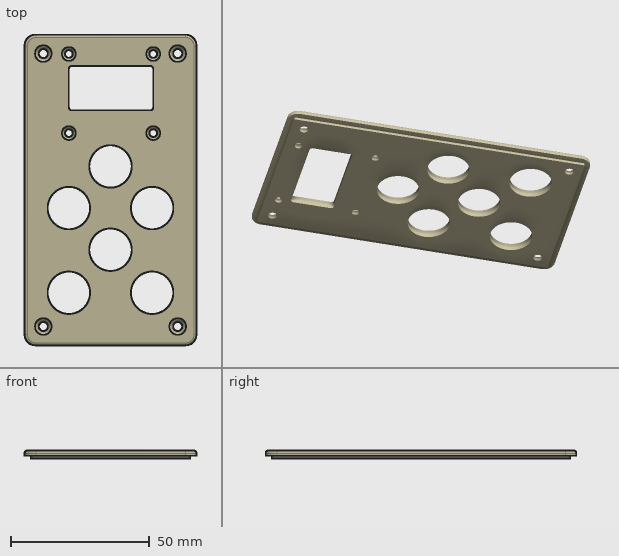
import cadquery as cq

width = 62.0
length = 112.0
plate_thickness = 2.0
corner_radius = 4.0
edge_radius = 1.0

lip_depth = 1.0
lip_inset = 2.2
lip_corner_radius = 0.6
thickness = plate_thickness + lip_depth

corner_screw_pitch_x = 48.4
corner_screw_pitch_y = 98.3
corner_screw_diameter = 3.2
corner_screw_head = 6.0

display_center_x = 0.2
window_width = 30.3
window_height = 15.9
window_center_y = 36.7
window_corner_radius = 1.0
display_screw_pitch_x = 30.4
display_screw_pitch_y = 28.5
display_screw_center_y = 34.75
display_screw_diameter = 2.7
display_screw_head = 5.0

countersink_angle = 90.0

button_diameter = 15.2
button_pitch = 15.0
button_top_y = 8.5
button_bottom_y = -37.0
button_centers = [
    (0, button_top_y),
    (-button_pitch, button_top_y - button_pitch),
    (button_pitch, button_top_y - button_pitch),
    (0, button_top_y - 2 * button_pitch),
    (-button_pitch, button_bottom_y),
    (button_pitch, button_bottom_y),
]


def rounded_block(size_x, size_y, height, radius):
    """Block standing on Z = 0 with rounded vertical edges."""
    block = cq.Workplane("XY").box(size_x, size_y, height, centered=(True, True, False))
    return block.edges("|Z").fillet(radius)


def make_body():
    """Plate with a rounded top edge resting on the smaller lip."""
    lip = rounded_block(width - 2 * lip_inset, length - 2 * lip_inset, lip_depth, lip_corner_radius)
    plate = rounded_block(width, length, plate_thickness, corner_radius)
    plate = plate.faces(">Z").edges().fillet(edge_radius)
    return plate.translate((0, 0, lip_depth)).union(lip)


def top_plane(center_x=0.0, center_y=0.0):
    """Workplane on the top surface, centred at the given point."""
    return cq.Workplane("XY", origin=(center_x, center_y, thickness))


def cut_screw_pattern(body, pitch_x, pitch_y, center_x, center_y, diameter, head):
    """Cut four countersunk through holes on the corners of a rectangle."""
    plane = body.copyWorkplane(top_plane(center_x, center_y))
    return plane.rect(pitch_x, pitch_y, forConstruction=True).vertices().cskHole(
        diameter, head, countersink_angle
    )


def cut_window(body):
    """Cut the rounded display opening through the plate."""
    opening = rounded_block(window_width, window_height, thickness, window_corner_radius)
    return body.cut(opening.translate((display_center_x, window_center_y, 0)))


def cut_buttons(body):
    """Cut the round button openings through the plate."""
    return body.copyWorkplane(top_plane()).pushPoints(button_centers).hole(button_diameter)


result = make_body()
result = cut_screw_pattern(
    result,
    pitch_x=corner_screw_pitch_x,
    pitch_y=corner_screw_pitch_y,
    center_x=0.0,
    center_y=0.0,
    diameter=corner_screw_diameter,
    head=corner_screw_head,
)
result = cut_screw_pattern(
    result,
    pitch_x=display_screw_pitch_x,
    pitch_y=display_screw_pitch_y,
    center_x=display_center_x,
    center_y=display_screw_center_y,
    diameter=display_screw_diameter,
    head=display_screw_head,
)
result = cut_window(result)
result = cut_buttons(result)